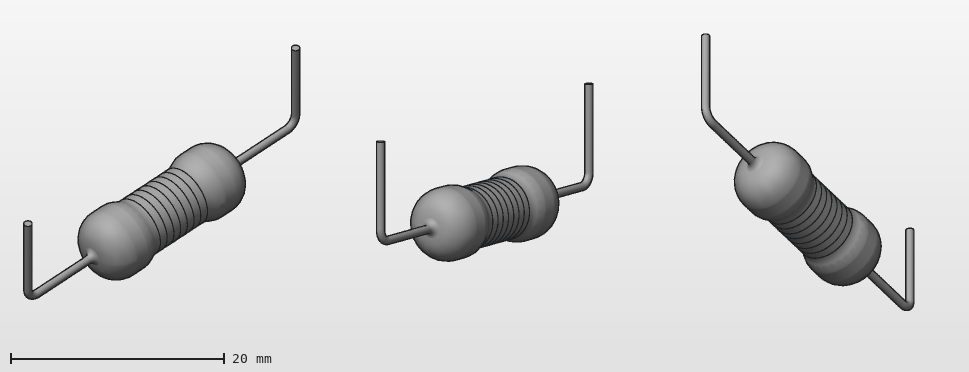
import cadquery as cq
import math


cap_diameter = 7.0
body_length = 18.0
end_rounding = 2.5
cap_land_length = 1.4
waist_diameter = 5.95
shoulder_convex_radius = 2.0

band_diameter = 5.97
band_count = 4
band_width = 0.88

wire_diameter = 0.8
lead_span = 35.0
lead_height = 9.6
bend_radius = 1.2
root_fillet_radius = 0.7

cap_radius = cap_diameter / 2
waist_radius = waist_diameter / 2
wire_radius = wire_diameter / 2
body_end = body_length / 2
land_outer = body_end - end_rounding
land_inner = land_outer - cap_land_length
band_pitch = 2 * band_width
waist_half_length = ((band_count - 1) * band_pitch + band_width) / 2

shoulder_length = land_inner - waist_half_length
shoulder_drop = cap_radius - waist_radius
shoulder_radius_sum = (shoulder_length**2 + shoulder_drop**2) / (2 * shoulder_drop)
convex_fraction = shoulder_convex_radius / shoulder_radius_sum
shoulder_mid_y = land_inner - convex_fraction * shoulder_length
shoulder_mid_radius = cap_radius - convex_fraction * shoulder_drop

rounding_center_radius = cap_radius - end_rounding
root_center_radius = wire_radius + root_fillet_radius
center_distance = end_rounding + root_fillet_radius
radial_step = root_center_radius - rounding_center_radius
axial_step = math.sqrt(center_distance**2 - radial_step**2)
root_end = land_outer + axial_step
contact_fraction = end_rounding / center_distance
root_rim = (
    rounding_center_radius + contact_fraction * radial_step,
    land_outer + contact_fraction * axial_step,
)

SIN_45 = math.sin(math.radians(45))


def make_end(side):
    """Shoulder, cap, rounded end and flared lead root on the side * Y half of the body."""
    profile = (
        cq.Workplane("XY")
        .moveTo(cap_radius, land_outer)
        .lineTo(cap_radius, land_inner)
        .tangentArcPoint((shoulder_mid_radius, shoulder_mid_y), relative=False)
        .tangentArcPoint((waist_radius, waist_half_length), relative=False)
        .lineTo(0, waist_half_length)
        .lineTo(0, root_end)
        .lineTo(wire_radius, root_end)
        .radiusArc(root_rim, -root_fillet_radius)
        .radiusArc((cap_radius, land_outer), end_rounding)
        .close()
    )
    end = profile.revolve(360, (0, 0, 0), (0, 1, 0))
    return end if side > 0 else end.mirror("XZ")


def make_cylinder(diameter, length, center_y):
    """A solid cylinder along Y, centred on center_y."""
    return (
        cq.Workplane("XZ", origin=(0, center_y + length / 2, 0))
        .circle(diameter / 2)
        .extrude(length)
    )


def make_lead(side):
    """A bent wire from the body centre out to side * Y and up to the tip."""
    leg_y = lead_span / 2
    bend_start = leg_y - bend_radius
    bend_inset = bend_radius * (1 - SIN_45)
    path = (
        cq.Workplane("YZ")
        .moveTo(0, 0)
        .lineTo(side * bend_start, 0)
        .threePointArc((side * (leg_y - bend_inset), bend_inset), (side * leg_y, bend_radius))
        .lineTo(side * leg_y, lead_height)
    )
    return cq.Workplane("XZ").circle(wire_radius).sweep(path)


result = make_cylinder(waist_diameter, 2 * waist_half_length, 0)
for index in range(band_count):
    band_y = (index - (band_count - 1) / 2) * band_pitch
    result = result.union(make_cylinder(band_diameter, band_width, band_y))
for side in (-1, 1):
    result = result.union(make_end(side)).union(make_lead(side))